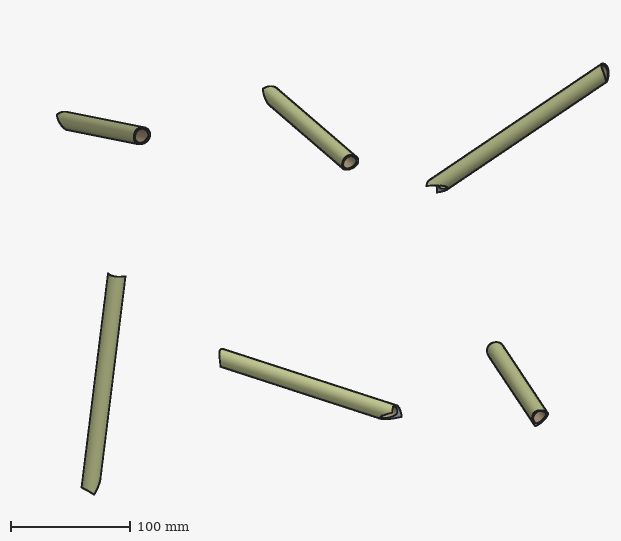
import cadquery as cq
import math

CENTRE = (0.4, -0.1, 0)
RISE = 100
RUN_X = 83
RUN_Y = -92.6
OUTER_RADIUS = 7.5
WALL = 1.5
BLANK_HALF_LENGTH = 116.7

LOWER_COPE_RADIUS = OUTER_RADIUS
LOWER_COPE_Z = -60.2

UPPER_COPE_RADIUS = 14.3
UPPER_COPE_DISTANCE = 106.3
UPPER_COPE_TILT = 20
UPPER_COPE_SKEW = 7
COPE_HALF_LENGTH = 51.9

AXIS = cq.Vector(RUN_X, RUN_Y, RISE).normalized()
SIDEWAYS = cq.Vector(-RUN_Y, RUN_X, 0).normalized()


def point_on_tube(distance):
    """Point on the main centre line, measured upward from CENTRE."""
    return cq.Vector(*CENTRE) + AXIS * distance


def centred_rod(middle, direction, radius, half_length):
    """Solid rod reaching half_length both ways from its middle."""
    start = middle - direction * half_length
    return cq.Workplane(obj=cq.Solid.makeCylinder(radius, 2 * half_length, start, direction))


def tube_blank():
    """Plain round tube, longer than the finished part."""
    middle = point_on_tube(0)
    outside = centred_rod(middle, AXIS, OUTER_RADIUS, BLANK_HALF_LENGTH)
    bore = centred_rod(middle, AXIS, OUTER_RADIUS - WALL, BLANK_HALF_LENGTH)
    return outside.cut(bore)


def lower_cope():
    """Rod along Y that saddles the lower end."""
    middle = point_on_tube(LOWER_COPE_Z / AXIS.z)
    return centred_rod(middle, cq.Vector(0, 1, 0), LOWER_COPE_RADIUS, COPE_HALF_LENGTH)


def upper_cope():
    """Tilted rod that saddles the upper end."""
    upward = AXIS.cross(SIDEWAYS)
    tilt = math.radians(UPPER_COPE_TILT)
    skew = math.radians(UPPER_COPE_SKEW)
    direction = upward + AXIS * math.tan(tilt) + SIDEWAYS * math.tan(skew)
    return centred_rod(point_on_tube(UPPER_COPE_DISTANCE), direction, UPPER_COPE_RADIUS, COPE_HALF_LENGTH)


pieces = tube_blank().cut(lower_cope()).cut(upper_cope()).solids().vals()
result = cq.Workplane(obj=max(pieces, key=lambda piece: piece.Volume()))